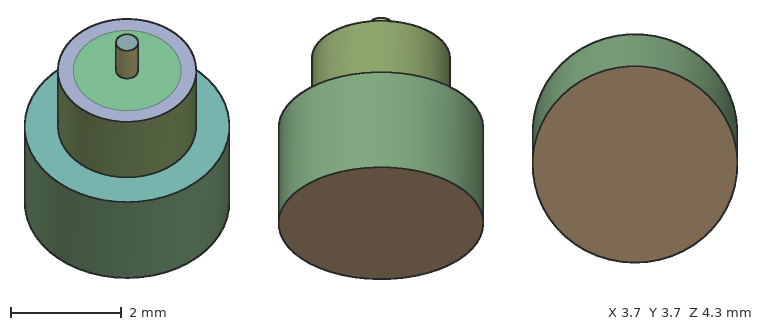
import cadquery as cq

base_diameter = 3.7
barrel_diameter = 2.5
core_diameter = 1.95
pin_diameter = 0.4
base_height = 2.05
barrel_height = 1.5
pin_height = 0.75

barrel_top = base_height + barrel_height


def cylinder(diameter, bottom, height):
    """Upright cylinder on the Z axis, starting at the given level."""
    return cq.Workplane("XY").workplane(offset=bottom).circle(diameter / 2).extrude(height)


def make_shell():
    """Stepped outer body: wide base and narrower barrel, with the barrel bored for the core."""
    base = cylinder(base_diameter, 0, base_height)
    barrel = cylinder(barrel_diameter, base_height, barrel_height)
    return base.union(barrel).cut(make_core())


def make_core():
    """Insert that fills the barrel's bore and ends flush with the barrel top."""
    return cylinder(core_diameter, base_height, barrel_height)


def make_pin():
    """Contact pin standing on the core."""
    return cylinder(pin_diameter, barrel_top, pin_height)


result = make_shell().union(make_core(), clean=False).union(make_pin(), clean=False)